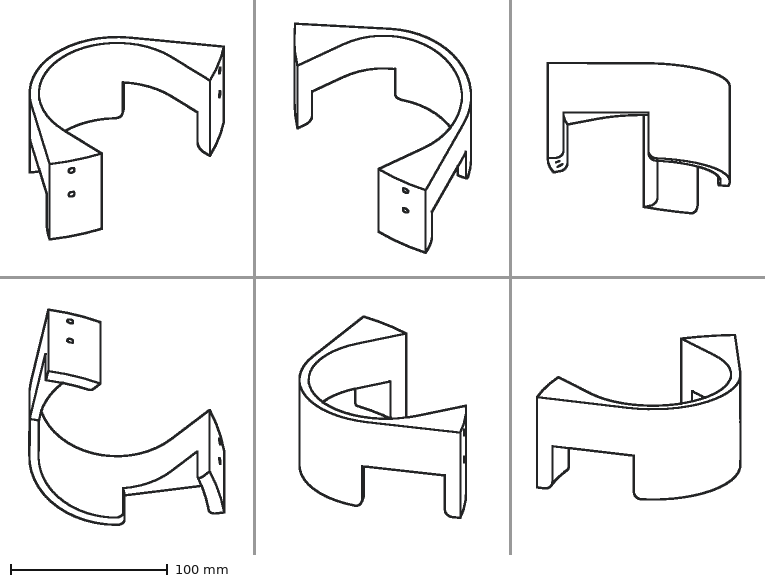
import cadquery as cq
import math

height = 63.0
inner_radius = 50.0
band_thickness = 6.0
outer_radius = inner_radius + band_thickness
wing_tip_y = 80.7

flare_center_x = -93.6
wing_end_radius = 137.1

slot_height = 30.0
slot_start_radius = 72.8
end_foot_thickness = 10.2
slot_end_radius = wing_end_radius - end_foot_thickness
foot_fillet = 5.0

hole_diameter = 3.9
hole_depth = 20.0
hole_angle = 30.0
hole_heights = (35.0, 54.9)


def wing_end_point(y):
    """Point on the wing end arc at the given Y."""
    return flare_center_x + math.sqrt(wing_end_radius**2 - y**2), y


def tangent_angle(point):
    """Polar angle where the upper line through a point touches the outer band arc."""
    x, y = point
    return math.atan2(y, x) + math.acos(outer_radius / math.hypot(x, y))


def make_body():
    tip_x, tip_y = wing_end_point(wing_tip_y)
    inner_x, inner_y = wing_end_point(inner_radius)
    middle_angle = (math.asin(tip_y / wing_end_radius) + math.asin(inner_y / wing_end_radius)) / 2
    middle_x = flare_center_x + wing_end_radius * math.cos(middle_angle)
    middle_y = wing_end_radius * math.sin(middle_angle)
    touch_angle = tangent_angle((tip_x, tip_y))
    touch_x = outer_radius * math.cos(touch_angle)
    touch_y = outer_radius * math.sin(touch_angle)
    return (
        cq.Workplane("XY")
        .moveTo(inner_x, inner_y)
        .threePointArc((middle_x, middle_y), (tip_x, tip_y))
        .lineTo(touch_x, touch_y)
        .threePointArc((-outer_radius, 0), (touch_x, -touch_y))
        .lineTo(tip_x, -tip_y)
        .threePointArc((middle_x, -middle_y), (inner_x, -inner_y))
        .lineTo(0, -inner_radius)
        .threePointArc((-inner_radius, 0), (0, inner_radius))
        .close()
        .extrude(height)
    )


def make_slot_ring():
    """Ring whose profile flares out at the bottom, rounding the foot edges it leaves."""
    start, end = slot_start_radius, slot_end_radius
    bulge = foot_fillet * (1 - math.sqrt(0.5))
    return (
        cq.Workplane("XZ")
        .moveTo(start, slot_height)
        .lineTo(start, foot_fillet)
        .threePointArc((start - bulge, bulge), (start - foot_fillet, 0))
        .lineTo(end + foot_fillet, 0)
        .threePointArc((end + bulge, bulge), (end, foot_fillet))
        .lineTo(end, slot_height)
        .close()
        .revolve(360, (0, 0), (0, 1))
        .translate((flare_center_x, 0, 0))
    )


def make_hole(angle, z):
    """Radial drill entering a wing end at the given angle around the flare center."""
    direction = cq.Vector(math.cos(math.radians(angle)), math.sin(math.radians(angle)), 0)
    bottom = cq.Vector(flare_center_x, 0, z) + direction * (wing_end_radius - hole_depth)
    drill_length = hole_depth + hole_diameter
    return cq.Solid.makeCylinder(hole_diameter / 2, drill_length, bottom, direction)


result = make_body().cut(make_slot_ring())
for hole_z in hole_heights:
    for side in (1, -1):
        result = result.cut(make_hole(side * hole_angle, hole_z))